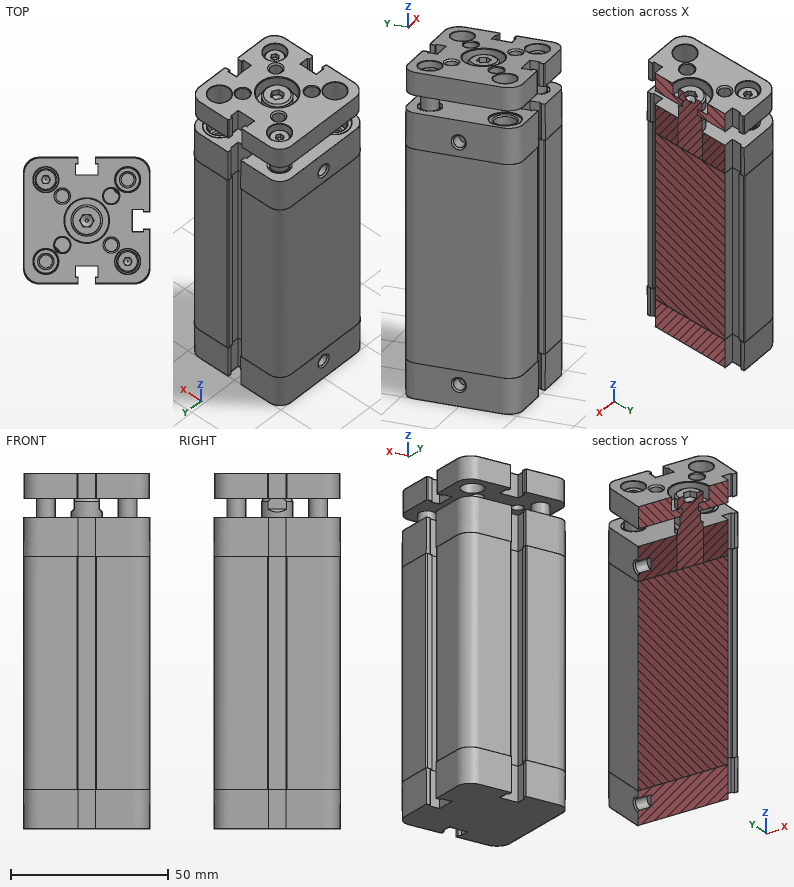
import cadquery as cq
import math


cap_height = 12.5
tube_height = 74.0
body_top = 2 * cap_height + tube_height
plate_gap = 6.0
plate_thickness = 8.0
plate_bottom = body_top + plate_gap
plate_top = plate_bottom + plate_thickness
front_cap_bottom = cap_height + tube_height

cap_width = 40.3
cap_draft = 0.5
tube_width = 40.2
plate_width = 39.8
corner_radius = 5.0

slot_angles = (-90, 0, 90)
slot_floor = 14.5
slot_lip = 18.0
slot_width = 7.0
mouth_width = 5.5
mouth_chamfer = 0.35
slot_reach = cap_width / 2 + 1.0

small_thread_core = 4.13
small_thread_mouth = 5.2
large_thread_core = 4.92
large_thread_mouth = 5.5

port_offset = 7.5
port_depth = 5.0

guide_offset = 13.0
mounting_offset = 11.0 / math.sqrt(2)
guide_diagonal = ((-1, 1), (1, -1))
open_diagonal = ((-1, -1), (1, 1))

drill_point_angle = 118.0

rod_diameter = 10.0
rod_tip_diameter = 9.0
rod_tip_height = 1.0
flat_width = 8.0
flat_bottom = plate_bottom - 3.3
rod_shank_diameter = 6.0
rod_head_diameter = 10.0
rod_head_height = 4.0
rod_head_depth = 1.0
rod_head_chamfer = 0.6
rod_hex = 4.0
rod_hex_depth = 2.0
rod_hex_tip_diameter = 1.0
rod_recess_diameter = 14.0
rod_recess_mouth = 14.5

guide_diameter = 6.0
guide_shank_diameter = 4.0
guide_head_diameter = 7.0
guide_head_height = 4.0
guide_head_depth = 2.0
guide_head_chamfer = 0.4
guide_hex = 2.5
guide_hex_depth = 1.5
guide_hex_tip_diameter = 0.2
guide_recess_diameter = 8.0
guide_recess_mouth = 8.3

wiper_recess_diameter = 8.0
wiper_recess_depth = 0.3
wiper_gap_diameter = 6.5
wiper_gap_depth = 1.0
screw_recess_diameter = 10.48
screw_recess_mouth = 10.9
screw_recess_depth = 0.4
screw_hole_diameter = 7.5
screw_hole_mouth = 8.4
screw_hole_depth = 4.6
screw_thread_depth = 4.0


def cylinder(diameter, bottom, top, x=0.0, y=0.0):
    return cq.Workplane("XY", origin=(x, y, bottom)).circle(diameter / 2).extrude(top - bottom)


def cone(bottom_diameter, top_diameter, bottom, top, x=0.0, y=0.0):
    solid = cq.Solid.makeCone(
        bottom_diameter / 2, top_diameter / 2, top - bottom, cq.Vector(x, y, bottom), cq.Vector(0, 0, 1)
    )
    return cq.Workplane(obj=solid)


def rounded_block(width, bottom, top):
    block = cq.Workplane("XY", origin=(0, 0, bottom)).rect(width, width).extrude(top - bottom)
    return block.edges("|Z").fillet(corner_radius)


def mirrored_outline(side):
    """Closes one side of a slot outline with its mirror image about the X axis."""
    return side + [(x, -y) for x, y in reversed(side)]


def stepped_slot(width):
    """Outline of a T-slot in the +X side with square lips and a chamfered mouth."""
    face = width / 2
    mouth = mouth_width / 2
    return mirrored_outline([
        (slot_floor, slot_width / 2),
        (slot_lip, slot_width / 2),
        (slot_lip, mouth),
        (face - mouth_chamfer, mouth),
        (face, mouth + mouth_chamfer),
        (slot_reach, mouth + mouth_chamfer),
    ])


def sloped_slot():
    """Outline of a T-slot in the +X side with lips sloped at 45 degrees."""
    mouth = mouth_width / 2
    slope = (slot_width - mouth_width) / 2
    return mirrored_outline([
        (slot_floor, slot_width / 2),
        (slot_lip, slot_width / 2),
        (slot_lip + slope, mouth),
        (slot_reach, mouth),
    ])


def cut_slots(block, outline, bottom, top):
    slot = cq.Workplane("XY", origin=(0, 0, bottom)).polyline(outline).close().extrude(top - bottom)
    for angle in slot_angles:
        block = block.cut(slot.rotate((0, 0, 0), (0, 0, 1), angle))
    return block


def countersunk_port(z):
    """Port cutter going into the drafted -X side, with a 45 degree mouth."""
    side = cap_width / 2 - (cap_height - port_offset) * math.tan(math.radians(cap_draft))
    chamfer = (small_thread_mouth - small_thread_core) / 2
    reach = cap_width / 2 - side
    profile = [
        (0, -reach),
        (small_thread_mouth / 2, -reach),
        (small_thread_mouth / 2, 0),
        (small_thread_core / 2, chamfer),
        (small_thread_core / 2, port_depth),
        (0, port_depth),
    ]
    cutter = cq.Workplane("XY").polyline(profile).close().revolve(360, (0, 0), (0, 1))
    return cutter.rotate((0, 0, 0), (0, 0, 1), -90).translate((-side, 0, z))


def countersunk_hole(core, mouth, bottom, top, x=0.0, y=0.0):
    chamfer = (mouth - core) / 2
    return cylinder(core, bottom, top, x, y).union(cone(core, mouth, top - chamfer, top, x, y))


def make_cap():
    """End cap with its seam face on Z = 0, drafted inwards towards its outer face."""
    section = cq.Sketch().rect(cap_width, cap_width).vertices().fillet(corner_radius)
    cap = cq.Workplane("XY").placeSketch(section).extrude(cap_height, taper=cap_draft)
    cap = cut_slots(cap, sloped_slot(), 0.0, cap_height)
    return cap.cut(countersunk_port(cap_height - port_offset))


def make_rear_cap():
    return make_cap().mirror("XY").translate((0, 0, cap_height))


def make_front_cap():
    cap = make_cap().translate((0, 0, front_cap_bottom))
    cap = cap.cut(cylinder(rod_diameter, front_cap_bottom, body_top))
    for side_x, side_y in guide_diagonal:
        x, y = side_x * guide_offset, side_y * guide_offset
        cap = cap.cut(cylinder(guide_diameter, front_cap_bottom, body_top, x, y))
        cap = cap.cut(cylinder(wiper_recess_diameter, body_top - wiper_recess_depth, body_top, x, y))
        cap = cap.cut(cylinder(wiper_gap_diameter, body_top - wiper_gap_depth, body_top, x, y))
    for side_x, side_y in open_diagonal:
        x, y = side_x * guide_offset, side_y * guide_offset
        recess_floor = body_top - screw_recess_depth
        floor = body_top - screw_hole_depth
        cap = cap.cut(
            countersunk_hole(screw_recess_diameter, screw_recess_mouth, recess_floor, body_top, x, y)
        )
        cap = cap.cut(countersunk_hole(screw_hole_diameter, screw_hole_mouth, floor, recess_floor, x, y))
        thread_bottom = floor - screw_thread_depth
        cap = cap.cut(
            countersunk_hole(small_thread_core, small_thread_mouth, thread_bottom, floor, x, y)
        )
    return cap


def make_tube():
    block = rounded_block(tube_width, cap_height, front_cap_bottom)
    return cut_slots(block, stepped_slot(tube_width), cap_height, front_cap_bottom)


def make_plate():
    block = rounded_block(plate_width, plate_bottom, plate_top)
    plate = cut_slots(block, stepped_slot(plate_width), plate_bottom, plate_top)

    rod_seat = plate_top - rod_head_depth - rod_head_height
    plate = plate.cut(cylinder(rod_shank_diameter, plate_bottom, plate_top))
    plate = plate.cut(countersunk_hole(rod_recess_diameter, rod_recess_mouth, rod_seat, plate_top))

    guide_seat = plate_top - guide_head_depth - guide_head_height
    for side_x, side_y in guide_diagonal:
        x, y = side_x * guide_offset, side_y * guide_offset
        plate = plate.cut(cylinder(guide_shank_diameter, plate_bottom, plate_top, x, y))
        plate = plate.cut(
            countersunk_hole(guide_recess_diameter, guide_recess_mouth, guide_seat, plate_top, x, y)
        )
        x, y = side_x * mounting_offset, side_y * mounting_offset
        plate = plate.cut(
            countersunk_hole(small_thread_core, small_thread_mouth, plate_bottom, plate_top, x, y)
        )
    for side_x, side_y in open_diagonal:
        x, y = side_x * guide_offset, side_y * guide_offset
        plate = plate.cut(
            countersunk_hole(guide_recess_diameter, guide_recess_mouth, plate_bottom, plate_top, x, y)
        )
        x, y = side_x * mounting_offset, side_y * mounting_offset
        plate = plate.cut(
            countersunk_hole(large_thread_core, large_thread_mouth, plate_bottom, plate_top, x, y)
        )
    return plate


def screw_end(shank, head, head_height, depth, chamfer, hex_size, hex_depth, hex_tip):
    """Shank and socket head in the plate; the socket ends in a drill point."""
    top = plate_top - depth
    hex_floor = top - hex_depth
    screw = cylinder(head, top - head_height, top).faces(">Z").edges().chamfer(chamfer)
    screw = screw.union(cylinder(shank, plate_bottom, top - head_height))
    hex_corners = hex_size / math.cos(math.pi / 6)
    socket = cq.Workplane("XY", origin=(0, 0, hex_floor)).polygon(6, hex_corners).extrude(hex_depth)
    point_depth = (hex_size - hex_tip) / 2 / math.tan(math.radians(drill_point_angle / 2))
    return screw.cut(socket).cut(cone(hex_tip, hex_size, hex_floor - point_depth, hex_floor))


def wrench_flat():
    """Cutter for the +X wrench flat, with a 45 degree run-out below."""
    flat = flat_width / 2
    reach = rod_diameter / 2 + 1.0
    outline = [
        (flat, plate_bottom),
        (flat, flat_bottom),
        (reach, flat_bottom - (reach - flat)),
        (reach, plate_bottom),
    ]
    return cq.Workplane("XZ").polyline(outline).close().extrude(reach, both=True)


def make_piston_rod():
    tip_start = plate_bottom - rod_tip_height
    rod = cylinder(rod_diameter, front_cap_bottom, tip_start)
    rod = rod.union(cone(rod_diameter, rod_tip_diameter, tip_start, plate_bottom))
    for angle in (0, 180):
        rod = rod.cut(wrench_flat().rotate((0, 0, 0), (0, 0, 1), angle))
    return rod.union(screw_end(
        rod_shank_diameter, rod_head_diameter, rod_head_height, rod_head_depth,
        rod_head_chamfer, rod_hex, rod_hex_depth, rod_hex_tip_diameter,
    ))


def make_guide_rod(x, y):
    rod = cylinder(guide_diameter, front_cap_bottom, plate_bottom)
    rod = rod.union(screw_end(
        guide_shank_diameter, guide_head_diameter, guide_head_height, guide_head_depth,
        guide_head_chamfer, guide_hex, guide_hex_depth, guide_hex_tip_diameter,
    ))
    return rod.translate((x, y, 0))


rear_cap = make_rear_cap()
tube = make_tube()
front_cap = make_front_cap()
plate = make_plate()
piston_rod = make_piston_rod()
guide_rods = [
    make_guide_rod(side_x * guide_offset, side_y * guide_offset) for side_x, side_y in guide_diagonal
]

result = cq.Compound.makeCompound([
    rear_cap.val(),
    tube.val(),
    front_cap.val(),
    plate.val(),
    piston_rod.val(),
    *[rod.val() for rod in guide_rods],
])